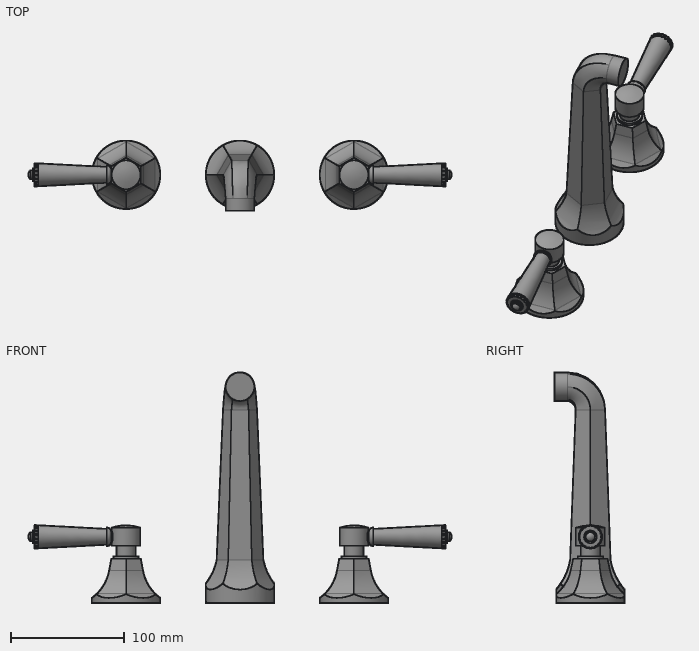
import cadquery as cq
import math

OVERALL_WIDTH = 372.5
FLAT_COUNT = 6
FLAT_ANGLE = 360 / FLAT_COUNT
CORNER_RATIO = 1 / math.cos(math.radians(FLAT_ANGLE / 2))
BASE_RADIUS = 30.0

SPOUT_HEIGHT = 203.0
OUTLET_RADIUS = 12.5
OUTLET_REACH = 31.5
BEND_RADIUS = 20.5
COLUMN_TOP_FLAT = 13.0
COLUMN_FOOT_FLAT = 18.0
COLUMN_FOOT_Z = 38.0
SPOUT_FLARE_MIDDLE = (22.0, 24.5)
SPOUT_RIM_Z = 12.0
OUTLET_Z = SPOUT_HEIGHT - OUTLET_RADIUS
COLUMN_TOP_Z = OUTLET_Z - BEND_RADIUS

LEVER_TIP = 86.0
HANDLE_OFFSET = OVERALL_WIDTH / 2 - LEVER_TIP
HANDLE_RIM_Z = 4.5
FLARE_EDGE_FLAT = 25.5
FLARE_EDGE_Z = 8.5
HANDLE_FLARE_MIDDLE = (18.2, 18.5)
SHOULDER_FLAT = 15.0
SHOULDER_Z = 29.0
PEDESTAL_TOP_FLAT = 13.0
PEDESTAL_TOP_Z = 39.0

COLLAR_RADIUS = 11.0
COLLAR_TOP_Z = 41.5
STEM_RADIUS = 8.5
HEAD_RADIUS = 12.5
HEAD_BOTTOM_Z = 50.3
HEAD_EDGE_Z = 66.3
CROWN_HEIGHT = 2.2

LEVER_Z = (HEAD_BOTTOM_Z + HEAD_EDGE_Z) / 2
NECK_RADIUS = 5.2
NECK_END = 13.0
BEAD_RADIUS = 8.2
BEAD_MIDDLE = (14.5, 7.5)
BEAD_END = 17.0
GRIP_START_RADIUS = 7.0
GRIP_END_RADIUS = 10.5
GRIP_END = 80.8
GRIP_CHAMFER = 0.7
RING_RADIUS = 5.5
RING_END = 82.0
BUTTON_RADIUS = 4.0
DOME_HEIGHT = 2.2
FLUTE_COUNT = 18
FLUTE_RADIUS = 1.0
FLUTE_LENGTH = 3.7


def six_sided(half_outline, flat_direction):
    """Six-sided body whose flats all follow the half outline, trimmed to the round base.

    The half outline is a Workplane wire from the axis at the bottom to the axis at the top.
    One pair of flats faces flat_direction, an angle from +X in degrees.
    """
    bar = half_outline.mirrorY().extrude(2 * BASE_RADIUS, both=True)
    height = bar.val().BoundingBox().zmax
    body = cq.Workplane("XY").circle(BASE_RADIUS).extrude(height)
    for i in range(FLAT_COUNT // 2):
        body = body.intersect(bar.rotate((0, 0, 0), (0, 0, 1), flat_direction + i * FLAT_ANGLE))
    return body


def spout_column():
    half_outline = (
        cq.Workplane("XZ")
        .lineTo(BASE_RADIUS, 0)
        .lineTo(BASE_RADIUS, SPOUT_RIM_Z)
        .threePointArc(SPOUT_FLARE_MIDDLE, (COLUMN_FOOT_FLAT, COLUMN_FOOT_Z))
        .lineTo(COLUMN_TOP_FLAT, COLUMN_TOP_Z)
        .lineTo(0, COLUMN_TOP_Z)
    )
    return six_sided(half_outline, 90)


def ring_points(radius, step):
    """Points around a circle in the local plane, one every step degrees from its x axis."""
    count = round(360 / step)
    return [
        (radius * math.cos(math.radians(i * step)), radius * math.sin(math.radians(i * step)))
        for i in range(count)
    ]


def round_outlet():
    """Circle at the end of the bend, made of six arcs, one for each side of the column."""
    points = ring_points(OUTLET_RADIUS, FLAT_ANGLE / 2)
    points.append(points[0])
    outline = cq.Workplane("XZ", origin=(0, -BEND_RADIUS, OUTLET_Z)).moveTo(*points[0])
    for i in range(0, len(points) - 1, 2):
        outline = outline.threePointArc(points[i + 1], points[i + 2])
    return outline.close()


def spout_bend():
    """Quarter bend that changes from the six-sided column to the round outlet."""
    turn = BEND_RADIUS * (1 - math.sqrt(0.5))
    path = (
        cq.Workplane("YZ", origin=(0, 0, COLUMN_TOP_Z))
        .threePointArc((-turn, BEND_RADIUS - turn), (-BEND_RADIUS, BEND_RADIUS))
    )
    corners = ring_points(COLUMN_TOP_FLAT * CORNER_RATIO, FLAT_ANGLE)
    column_end = cq.Workplane("XY", origin=(0, 0, COLUMN_TOP_Z)).polyline(corners).close()
    return column_end.add(round_outlet()).toPending().sweep(path, multisection=True)


def make_spout():
    nozzle = round_outlet().extrude(OUTLET_REACH - BEND_RADIUS)
    return spout_column().union(spout_bend()).union(nozzle)


def handle_pedestal():
    half_outline = (
        cq.Workplane("XZ")
        .lineTo(BASE_RADIUS, 0)
        .lineTo(BASE_RADIUS, HANDLE_RIM_Z)
        .lineTo(FLARE_EDGE_FLAT, FLARE_EDGE_Z)
        .threePointArc(HANDLE_FLARE_MIDDLE, (SHOULDER_FLAT, SHOULDER_Z))
        .lineTo(PEDESTAL_TOP_FLAT, PEDESTAL_TOP_Z)
        .lineTo(0, PEDESTAL_TOP_Z)
    )
    return six_sided(half_outline, 0)


def arch_middle(radius, height):
    """Middle of the arc from the rim to the peak of a shallow dome, as distances from the axis and rim."""
    sphere_radius = (radius**2 + height**2) / (2 * height)
    angle = math.asin(radius / sphere_radius) / 2
    return (
        sphere_radius * math.sin(angle),
        height - sphere_radius * (1 - math.cos(angle)),
    )


def handle_post():
    """Turned upright: collar, stem and round head with a shallow spherical crown."""
    out, up = arch_middle(HEAD_RADIUS, CROWN_HEIGHT)
    return (
        cq.Workplane("XZ")
        .moveTo(0, PEDESTAL_TOP_Z)
        .lineTo(COLLAR_RADIUS, PEDESTAL_TOP_Z)
        .lineTo(COLLAR_RADIUS, COLLAR_TOP_Z)
        .lineTo(STEM_RADIUS, COLLAR_TOP_Z)
        .lineTo(STEM_RADIUS, HEAD_BOTTOM_Z)
        .lineTo(HEAD_RADIUS, HEAD_BOTTOM_Z)
        .lineTo(HEAD_RADIUS, HEAD_EDGE_Z)
        .threePointArc((out, HEAD_EDGE_Z + up), (0, HEAD_EDGE_Z + CROWN_HEIGHT))
        .close()
        .revolve(360, (0, 0), (0, 1))
    )


def handle_lever():
    """Turned lever along +X: neck, bead, tapering fluted grip, ring and domed end button."""
    dome_start = LEVER_TIP - DOME_HEIGHT
    out, along = arch_middle(BUTTON_RADIUS, DOME_HEIGHT)
    lever = (
        cq.Workplane("XZ", origin=(0, 0, LEVER_Z))
        .lineTo(0, NECK_RADIUS)
        .lineTo(NECK_END, NECK_RADIUS)
        .threePointArc(BEAD_MIDDLE, (BEAD_END, BEAD_RADIUS))
        .lineTo(BEAD_END, GRIP_START_RADIUS)
        .lineTo(GRIP_END - GRIP_CHAMFER, GRIP_END_RADIUS)
        .lineTo(GRIP_END, GRIP_END_RADIUS - GRIP_CHAMFER)
        .lineTo(GRIP_END, RING_RADIUS)
        .lineTo(RING_END, RING_RADIUS)
        .lineTo(RING_END, BUTTON_RADIUS)
        .lineTo(dome_start, BUTTON_RADIUS)
        .threePointArc((dome_start + along, out), (LEVER_TIP, 0))
        .close()
        .revolve(360, (0, 0), (1, 0))
    )
    flutes = (
        cq.Workplane("YZ", origin=(GRIP_END - FLUTE_LENGTH, 0, LEVER_Z))
        .pushPoints(ring_points(GRIP_END_RADIUS, 360 / FLUTE_COUNT))
        .circle(FLUTE_RADIUS)
        .extrude(FLUTE_LENGTH)
    )
    return lever.cut(flutes)


def make_handle():
    """Handle standing at the origin with its lever along +X."""
    return (
        handle_pedestal()
        .union(handle_post())
        .union(handle_lever())
    )


spout = make_spout()

handle = make_handle()
handles = []
for angle in (0, 180):
    placed = handle.translate((HANDLE_OFFSET, 0, 0)).rotate((0, 0, 0), (0, 0, 1), angle)
    handles.append(placed.solids().val())

result = cq.Compound.makeCompound([spout.solids().val(), *handles])